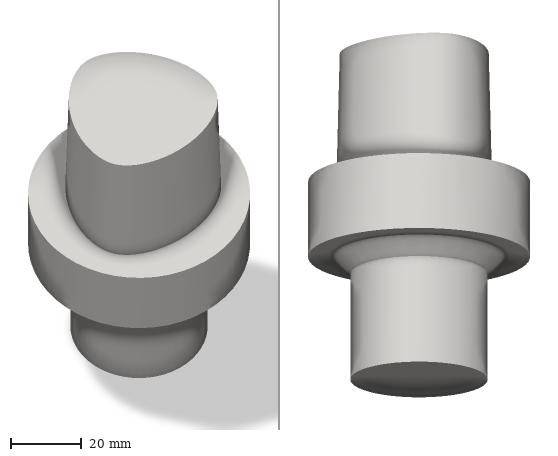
import cadquery as cq
import math

total_height = 96.0
shank_diameter = 39.0
shank_height = 31.0
cone_height = 5.0
cone_top_diameter = shank_diameter + 2 * cone_height
flange_diameter = 63.0
flange_height = 22.0

lobe_base_width = 44.2
taper_ratio = 1 / 20
eccentricity = 1.4
outline_point_count = 48

cone_top = shank_height + cone_height
flange_top = cone_top + flange_height
lobe_height = total_height - flange_top
lobe_top_width = lobe_base_width - taper_ratio * lobe_height


def lobed_point(width, angle):
    """Point on the constant-width trilobe; the angle is measured from its -Y lobe."""
    radius = width / 2
    x = radius * math.sin(angle) - eccentricity * (2 * math.sin(2 * angle) + math.sin(4 * angle))
    y = -radius * math.cos(angle) - eccentricity * (2 * math.cos(2 * angle) - math.cos(4 * angle))
    return (x, y)


def lobed_outline(width):
    step = 2 * math.pi / outline_point_count
    return [lobed_point(width, i * step) for i in range(outline_point_count)]


def make_turned_body():
    shank = cq.Workplane("XY").circle(shank_diameter / 2).extrude(shank_height)
    cone = (
        cq.Workplane("XY", origin=(0, 0, shank_height))
        .circle(shank_diameter / 2)
        .workplane(offset=cone_height)
        .circle(cone_top_diameter / 2)
        .loft(ruled=True)
    )
    flange = (
        cq.Workplane("XY", origin=(0, 0, cone_top))
        .circle(flange_diameter / 2)
        .extrude(flange_height)
    )
    return shank.union(cone).union(flange)


def make_lobed_taper():
    return (
        cq.Workplane("XY", origin=(0, 0, flange_top))
        .spline(lobed_outline(lobe_base_width), periodic=True, makeWire=True)
        .workplane(offset=lobe_height)
        .spline(lobed_outline(lobe_top_width), periodic=True, makeWire=True)
        .loft(ruled=True)
    )


result = make_turned_body().union(make_lobed_taper())